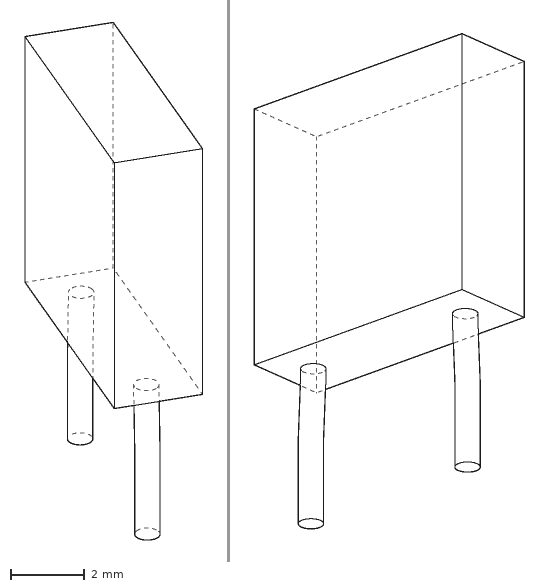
import cadquery as cq
import math

case_width = 7.63
case_depth = 2.54
case_height = 7.63

total_height = 12.22
lead_diameter = 0.7
lead_length = total_height - case_height
root_offset = 2.79
tip_offset = 2.87
root_length = 0.21
tip_length = 2.54
bend_radius = 1.0

jog_shift = tip_offset - root_offset
jog_drop = lead_length - root_length - tip_length
straight_jog = math.sqrt(jog_drop**2 + jog_shift**2 - 4 * bend_radius * jog_shift)
jog_angle = math.atan2(jog_drop, 2 * bend_radius - jog_shift) - math.atan2(straight_jog, 2 * bend_radius)


def make_case():
    """Plain block standing on the plane Z = 0."""
    return cq.Workplane("XY").box(case_width, case_depth, case_height, centered=(True, True, False))


def bend_offset(angle):
    """Sideways and axial travel along a bend that has turned by the given angle."""
    return bend_radius * (1 - math.cos(angle)), bend_radius * math.sin(angle)


def make_lead(side):
    """Wire hanging from the case underside; side is -1 for -X and 1 for +X."""
    mid_x, mid_z = bend_offset(jog_angle / 2)
    end_x, end_z = bend_offset(jog_angle)
    root_x = side * root_offset
    tip_x = side * tip_offset
    upper_bend_z = -root_length
    lower_bend_z = tip_length - lead_length

    axis = (
        cq.Workplane("XZ")
        .moveTo(root_x, 0)
        .lineTo(root_x, upper_bend_z)
        .threePointArc((root_x + side * mid_x, upper_bend_z - mid_z),
                       (root_x + side * end_x, upper_bend_z - end_z))
        .lineTo(tip_x - side * end_x, lower_bend_z + end_z)
        .threePointArc((tip_x - side * mid_x, lower_bend_z + mid_z),
                       (tip_x, lower_bend_z))
        .lineTo(tip_x, -lead_length)
    )
    return cq.Workplane("XY").center(root_x, 0).circle(lead_diameter / 2).sweep(axis)


case = make_case()
leads = [make_lead(side) for side in (-1, 1)]

result = cq.Compound.makeCompound([case.val(), *(lead.val() for lead in leads)])